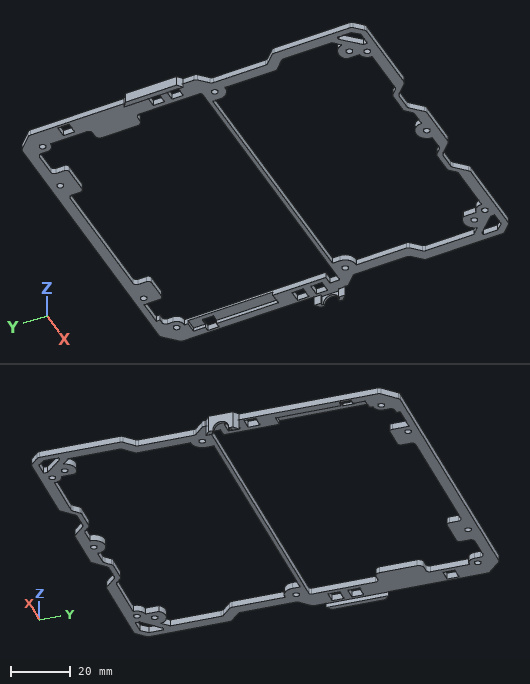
import cadquery as cq
import math

length = 130.0
width = 118.5
height = 6.2
plate_thickness = 2.5

half_length = length / 2
half_width = width / 2

flange_width = 2.0
flange_taper = 1.5
body_x = half_width - flange_width
top_chamfer = 5.5
bottom_chamfer = 3.6
waist_depth = 4.0
waist_x = body_x - waist_depth
waist_top = -7.0
waist_bottom = -27.7
bend_radius = 1.4

left_flange_top = 23.9
left_flange_bottom = 1.7
left_flange_drop = 4.0
right_flange_top = 9.9
right_flange_bottom = -1.8
jack_center_y = (right_flange_top + right_flange_bottom) / 2
jack_pocket_width = 6.6
jack_pocket_depth = 0.9
jack_hole_radius = 2.7
jack_hole_rise = 0.4

notch_center_x = 16.5
notch_flat_half = 3.4
notch_depth = 4.7
notch_rail = 2.0
rail = 4.0
rail_y = -half_length + rail
offset_shift = math.tan(math.pi / 8)

bar_top = -1.7
bar_bottom = -3.2

upper_x = 50.3
upper_y = 61.1
lug_reach = 3.0
lug_x = upper_x - lug_reach
lug_radius = 2.9
lug_y = 54.9
blend = 1.3
screw_tab_bottom = 55.4
left_tab_x = (-36.4, -24.3)
right_tab_x = (25.4, 35.4)
top_notch_x = 44.5
top_notch_y = 62.5
side_tab_x = -45.4
side_tab_y = (22.9, 39.9)
side_tab_round = 2.0
bar_notch_x = 53.4
bar_notch_y = 2.0
bar_corner_round = 0.8

recess_x = (upper_x, body_x - 2.9)
recess_y = (21.8, 53.5)
recess_roof = 1.0

lower_x = waist_x - rail
bar_lug_radius = 4.0
bar_lug_x = 45.0
bar_lug_y = -10.0
web_start_y = -52.0

hole_diameter = 2.2
upper_boss_hole = (46.9, -55.4)
upper_boss_radius = 4.0
upper_boss_side_x = 43.8
lower_boss_hole = (44.2, -60.7)
lower_boss_radius = 3.1
middle_boss_radius = 4.0
screw_holes = [(0, rail_y), (-30.3, 61.2), (32.4, 61.2)]
mirrored_holes = [(50.3, 57.8), (49.0, -6.0), upper_boss_hole, lower_boss_hole]
for hole_x, hole_y in mirrored_holes:
    screw_holes += [(hole_x, hole_y), (-hole_x, hole_y)]

window_size = 4.2
window_x = 54.2
window_ys = (47.0, 13.4, 6.4)

corner_window = [
    (54.9, -54.9),
    (53.8, -54.9),
    (47.8, -61.1),
    (47.8, -62.5),
    (52.8, -62.5),
    (54.9, -60.0),
]


def mirror_x(points):
    """Mirror (x, y, ...) points across X = 0, reversed so that an outline can carry on through them."""
    return [(-point[0], *point[1:]) for point in reversed(points)]


def prism(points, depth=plate_thickness):
    """Extrude a closed outline downward from the top face."""
    return cq.Workplane("XY").polyline(points).close().extrude(-depth)


def disc(center, radius):
    return cq.Workplane("XY").center(*center).circle(radius).extrude(-plate_thickness)


def rounded_prism(corners):
    """Extrude a closed outline of (x, y, corner radius); a radius of 0 leaves the corner sharp."""
    solid = prism([(x, y) for x, y, radius in corners])
    reach = 0.01
    for x, y, radius in corners:
        if radius > 0:
            near = cq.selectors.BoxSelector((x - reach, y - reach, -height), (x + reach, y + reach, height))
            solid = solid.edges("|Z").edges(near).fillet(radius)
    return solid


def with_radius(points, radius):
    """Give every (x, y) point the same corner radius."""
    return [(x, y, radius) for x, y in points]


def flange_points(top, bottom):
    """Outline of a right-hand side flange, from top to bottom."""
    return [
        (body_x, top),
        (half_width, top - flange_taper),
        (half_width, bottom + flange_taper),
        (body_x, bottom),
    ]


def notch_points(edge_y, flat_half, depth):
    """Right-hand 45 degree trapezoid rising from edge_y, from its right foot to its left foot."""
    foot_half = flat_half + depth
    return [
        (notch_center_x + foot_half, edge_y),
        (notch_center_x + flat_half, edge_y + depth),
        (notch_center_x - flat_half, edge_y + depth),
        (notch_center_x - foot_half, edge_y),
    ]


right_flange = flange_points(right_flange_top, right_flange_bottom)
left_flange = mirror_x(flange_points(left_flange_top, left_flange_bottom))


def outer_plate():
    top_corner = [(body_x - top_chamfer, half_length), (body_x, half_length - top_chamfer)]
    lower_half = [
        (body_x, waist_top + waist_depth),
        (waist_x, waist_top),
        (waist_x, waist_bottom),
        (body_x, waist_bottom - waist_depth),
        (body_x, -half_length + bottom_chamfer),
        (body_x - bottom_chamfer, -half_length),
    ] + notch_points(-half_length, notch_flat_half, notch_depth)
    right_half = with_radius(top_corner, bend_radius) + with_radius(right_flange, 0)
    right_half += with_radius(lower_half, bend_radius)
    left_half = with_radius(mirror_x(lower_half), bend_radius) + with_radius(left_flange, 0)
    left_half += with_radius(mirror_x(top_corner), bend_radius)
    return rounded_prism(right_half + left_half)


def upper_opening():
    tab_low, tab_high = side_tab_y
    return rounded_prism([
        (-upper_x, bar_top, bar_corner_round),
        (-upper_x, tab_low, blend),
        (side_tab_x, tab_low, side_tab_round),
        (side_tab_x, tab_high, side_tab_round),
        (-upper_x, tab_high, blend),
        (-upper_x, lug_y, 0),
        (-lug_x, lug_y, lug_radius),
        (-lug_x, upper_y, blend),
        (left_tab_x[0], upper_y, blend),
        (left_tab_x[0], screw_tab_bottom, blend),
        (left_tab_x[1], screw_tab_bottom, blend),
        (left_tab_x[1], upper_y, blend),
        (right_tab_x[0], upper_y, blend),
        (right_tab_x[0], screw_tab_bottom, blend),
        (right_tab_x[1], screw_tab_bottom, blend),
        (right_tab_x[1], top_notch_y, 0),
        (top_notch_x, top_notch_y, 0),
        (top_notch_x, upper_y, 0),
        (lug_x, upper_y, blend),
        (lug_x, lug_y, lug_radius),
        (upper_x, lug_y, 0),
        (upper_x, bar_notch_y, 0),
        (bar_notch_x, bar_notch_y, 0),
        (bar_notch_x, bar_top, 0),
    ])


def lower_opening():
    bend_y = waist_bottom - rail * offset_shift
    rail_flat_half = notch_flat_half + notch_rail * offset_shift
    rail_rise = notch_depth + notch_rail - rail
    right_half = [
        (bar_lug_x, bar_bottom, 0),
        (bar_lug_x, bar_lug_y, bar_lug_radius),
        (lower_x, bar_lug_y, 0),
        (lower_x, bend_y, bend_radius),
        (waist_x, bend_y - waist_depth, bend_radius),
        (waist_x, web_start_y, 0),
        (waist_x + rail_y - web_start_y, rail_y, 0),
    ] + with_radius(notch_points(rail_y, rail_flat_half, rail_rise), bend_radius)
    return rounded_prism(right_half + mirror_x(right_half))


def bosses():
    """Round bosses that reach into the lower opening."""
    upper_boss = disc(upper_boss_hole, upper_boss_radius)
    side_cut = (
        cq.Workplane("XY")
        .center(upper_boss_side_x - upper_boss_radius, upper_boss_hole[1])
        .rect(2 * upper_boss_radius, 2 * upper_boss_radius)
        .extrude(-plate_thickness)
    )
    upper_boss = upper_boss.cut(side_cut)
    corner = upper_boss.union(disc(lower_boss_hole, lower_boss_radius))
    return disc((0, rail_y), middle_boss_radius).union(corner).union(corner.mirror("YZ"))


def jack_cutout():
    """Inner pocket and half-round outer hole in the hanging part of the right flange."""
    pocket = (
        cq.Workplane("XY", origin=(body_x, jack_center_y, -height))
        .rect(2 * jack_pocket_depth, jack_pocket_width)
        .extrude(height - plate_thickness)
    )
    hole = (
        cq.Workplane("YZ", origin=(body_x, jack_center_y, -height + jack_hole_rise))
        .circle(jack_hole_radius)
        .extrude(flange_width)
    )
    return pocket.union(hole)


def rail_recess():
    """Shallow pocket in the underside of the right rail, open toward the upper opening."""
    size_x = recess_x[1] - recess_x[0]
    size_y = recess_y[1] - recess_y[0]
    return (
        cq.Workplane("XY", origin=(recess_x[0], recess_y[0], -plate_thickness))
        .rect(size_x, size_y, centered=False)
        .extrude(plate_thickness - recess_roof)
    )


def square_windows():
    centers = [(side * window_x, y) for side in (-1, 1) for y in window_ys]
    return cq.Workplane("XY").pushPoints(centers).rect(window_size, window_size).extrude(-plate_thickness)


def screw_hole_pins():
    return cq.Workplane("XY").pushPoints(screw_holes).circle(hole_diameter / 2).extrude(-plate_thickness)


frame = outer_plate().cut(upper_opening()).cut(lower_opening()).union(bosses())
frame = frame.union(prism(left_flange, left_flange_drop))
frame = frame.union(prism(right_flange, height).cut(jack_cutout()))
frame = frame.cut(rail_recess()).cut(square_windows())
frame = frame.cut(prism(corner_window)).cut(prism(mirror_x(corner_window)))
result = frame.cut(screw_hole_pins())